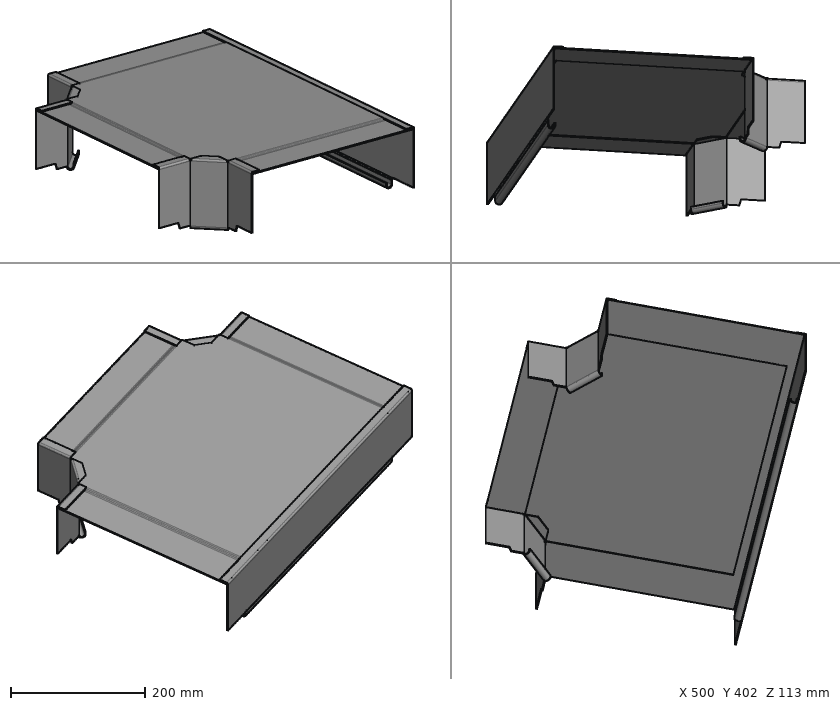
import cadquery as cq
import math

LENGTH = 500.0
DEPTH = 402.0
HEIGHT = 113.0
HALF_LENGTH = LENGTH / 2
BACK_Y = DEPTH / 2
FRONT_Y = -DEPTH / 2

SHEET = 2.0
BEND_RADIUS = 3.0
FLANGE_WIDTH = 15.0

BRANCH_HALF_WIDTH = 152.0
CORNER_LEG = 40.0
RUN_HALF_LENGTH = BRANCH_HALF_WIDTH + CORNER_LEG
RUN_FRONT_Y = -103.5
BRANCH_START_Y = RUN_FRONT_Y - CORNER_LEG

WALL_BOTTOM = 15.5
HOOK_RADIUS = 6.0
HOOK_LIP_TOP = 9.5
BACK_HOOK_HALF_LENGTH = 198.5
JOG_BOTTOM = 12.5
TAB_LENGTH_TOP = 21.5
TAB_LENGTH_BOTTOM = 18.5

RAMP_ANGLE = math.radians(25)
RAMP_BEND_RADIUS = 5.5

FLANGE_BOTTOM = HEIGHT - SHEET
RIM_BOTTOM = FLANGE_BOTTOM - SHEET
WALL_TOP = HEIGHT - BEND_RADIUS
TRAPEZOID_INSET = FLANGE_WIDTH * math.sqrt(2)
MITRE = math.tan(math.radians(45 / 2))


def prism(points, bottom, top):
    """Vertical prism over a plan outline."""
    return cq.Workplane("XY").workplane(offset=bottom).polyline(points).close().extrude(top - bottom)


def place(section, origin, direction, length):
    """Extrude a section drawn as (distance from origin along direction, height).

    The extrusion runs to the right of that direction, as seen from above.
    """
    normal = (direction[1], -direction[0], 0)
    plane = cq.Plane(origin=(*origin, 0), xDir=(*direction, 0), normal=normal)
    return section(cq.Workplane(plane)).extrude(length)


def flange_section(work):
    """Top flange with the quarter-round bend down to the wall."""
    inner_radius = BEND_RADIUS - SHEET
    diagonal = math.sqrt(0.5)
    return (
        work.moveTo(0, WALL_TOP)
        .threePointArc(
            (BEND_RADIUS * (1 - diagonal), WALL_TOP + BEND_RADIUS * diagonal), (BEND_RADIUS, HEIGHT)
        )
        .lineTo(FLANGE_WIDTH, HEIGHT)
        .lineTo(FLANGE_WIDTH, FLANGE_BOTTOM)
        .lineTo(BEND_RADIUS, FLANGE_BOTTOM)
        .threePointArc(
            (BEND_RADIUS - inner_radius * diagonal, WALL_TOP + inner_radius * diagonal), (SHEET, WALL_TOP)
        )
        .close()
    )


def hook_section(work):
    """Half-round hook that turns inward and ends in a short upright lip."""
    width = 2 * HOOK_RADIUS
    return (
        work.moveTo(0, HOOK_RADIUS)
        .threePointArc((HOOK_RADIUS, 0), (width, HOOK_RADIUS))
        .lineTo(width, HOOK_LIP_TOP)
        .lineTo(width - SHEET, HOOK_LIP_TOP)
        .lineTo(width - SHEET, HOOK_RADIUS)
        .threePointArc((HOOK_RADIUS, SHEET), (SHEET, HOOK_RADIUS))
        .close()
    )


def jog_section(work):
    """Lower strip of the back wall, stepped inward by one sheet thickness down to the hook."""
    return work.polyline(
        [
            (0, WALL_BOTTOM),
            (SHEET, JOG_BOTTOM),
            (SHEET, HOOK_RADIUS),
            (2 * SHEET, HOOK_RADIUS),
            (2 * SHEET, JOG_BOTTOM),
            (SHEET, WALL_BOTTOM),
        ]
    ).close()


def left_path(inset):
    """Plan of the left corner wall, moved inward from its outer face by an inset."""
    return [
        (-HALF_LENGTH, RUN_FRONT_Y + inset),
        (-RUN_HALF_LENGTH + inset * MITRE, RUN_FRONT_Y + inset),
        (-BRANCH_HALF_WIDTH + inset, BRANCH_START_Y + inset * MITRE),
        (-BRANCH_HALF_WIDTH + inset, FRONT_Y),
    ]


def corner_flange_outline():
    """Mitred flange above the left 45 degree wall, from the run around to the branch."""
    return [
        (-RUN_HALF_LENGTH, RUN_FRONT_Y),
        (-RUN_HALF_LENGTH + TRAPEZOID_INSET, RUN_FRONT_Y),
        (-BRANCH_HALF_WIDTH, BRANCH_START_Y + TRAPEZOID_INSET),
        (-BRANCH_HALF_WIDTH, BRANCH_START_Y),
    ]


def mirrored(points):
    """Plan points mirrored across X = 0, in reverse order to continue an outline."""
    return [(-x, y) for x, y in reversed(points)]


def open_end_ramp(start, outward, length):
    """Smooth ramp from the raised panel to the lowered rim, along one open side."""
    bend_run = RAMP_BEND_RADIUS * math.sin(RAMP_ANGLE)
    bend_drop = RAMP_BEND_RADIUS * (1 - math.cos(RAMP_ANGLE))
    straight_run = (SHEET - 2 * bend_drop) / math.tan(RAMP_ANGLE)
    half_run = RAMP_BEND_RADIUS * math.sin(RAMP_ANGLE / 2)
    half_drop = RAMP_BEND_RADIUS * (1 - math.cos(RAMP_ANGLE / 2))
    full_run = 2 * bend_run + straight_run

    def section(work):
        return (
            work.moveTo(0, HEIGHT)
            .threePointArc((half_run, HEIGHT - half_drop), (bend_run, HEIGHT - bend_drop))
            .lineTo(bend_run + straight_run, FLANGE_BOTTOM + bend_drop)
            .threePointArc((full_run - half_run, FLANGE_BOTTOM + half_drop), (full_run, FLANGE_BOTTOM))
            .lineTo(0, FLANGE_BOTTOM)
            .close()
        )

    return place(section, start, outward, length)


def make_plate():
    """Raised centre panel, flush with the flanges, on a rim that lies under them."""
    rim_edge = left_path(BEND_RADIUS)
    rim_back = BACK_Y - BEND_RADIUS
    rim_outline = [(-HALF_LENGTH, rim_back), *rim_edge, *mirrored(rim_edge), (HALF_LENGTH, rim_back)]

    panel_back = BACK_Y - FLANGE_WIDTH
    notch = corner_flange_outline()
    panel_outline = [
        (-RUN_HALF_LENGTH, panel_back),
        *notch,
        *mirrored(notch),
        (RUN_HALF_LENGTH, panel_back),
    ]
    hollow = (
        cq.Workplane("XY")
        .workplane(offset=RIM_BOTTOM)
        .polyline(panel_outline)
        .close()
        .offset2D(-SHEET, "intersection")
        .extrude(SHEET)
    )
    plate = prism(rim_outline, RIM_BOTTOM, FLANGE_BOTTOM).cut(hollow)
    plate = plate.union(prism(panel_outline, FLANGE_BOTTOM, HEIGHT))

    run_opening_front = RUN_FRONT_Y + FLANGE_WIDTH
    run_opening = panel_back - run_opening_front
    branch_opening_half = BRANCH_HALF_WIDTH - FLANGE_WIDTH
    left_ramp = open_end_ramp((-RUN_HALF_LENGTH, run_opening_front), (-1, 0), run_opening)
    right_ramp = open_end_ramp((RUN_HALF_LENGTH, panel_back), (1, 0), run_opening)
    branch_ramp = open_end_ramp((branch_opening_half, BRANCH_START_Y), (0, -1), 2 * branch_opening_half)
    return plate.union(left_ramp).union(right_ramp).union(branch_ramp)


def make_back_wall():
    """Straight wall with a top flange and a jogged hook along its lower edge."""
    inward = (0, -1)
    wall = cq.Workplane("XY").box(LENGTH, SHEET, WALL_TOP - WALL_BOTTOM, centered=(True, False, False))
    wall = wall.translate((0, BACK_Y - SHEET, WALL_BOTTOM))
    flange = place(flange_section, (HALF_LENGTH, BACK_Y), inward, LENGTH)
    hook_length = 2 * BACK_HOOK_HALF_LENGTH
    jog = place(jog_section, (BACK_HOOK_HALF_LENGTH, BACK_Y), inward, hook_length)
    hook = place(hook_section, (BACK_HOOK_HALF_LENGTH, BACK_Y - SHEET), inward, hook_length)
    return wall.union(flange).union(jog).union(hook)


def clearance_below_panel(origin, away, length):
    """Space below a straight panel, leaving a tapered tab next to the 45 degree wall."""

    def section(work):
        return work.polyline(
            [
                (TAB_LENGTH_TOP, WALL_BOTTOM),
                (TAB_LENGTH_BOTTOM, HOOK_RADIUS),
                (length, HOOK_RADIUS),
                (length, WALL_BOTTOM),
            ]
        ).close()

    return place(section, origin, away, SHEET)


def make_corner_wall(side):
    """Three-panel wall around one corner: side -1 is the left one, +1 its mirror image."""
    outer_path = left_path(0)
    run_end, run_corner, branch_corner, _ = outer_path
    wall = prism(outer_path + left_path(SHEET)[::-1], HOOK_RADIUS, WALL_TOP)
    run_length = HALF_LENGTH - RUN_HALF_LENGTH
    branch_length = BRANCH_START_Y - FRONT_Y
    wall = wall.cut(clearance_below_panel(run_corner, (-1, 0), run_length))
    branch_inner_corner = (branch_corner[0] + SHEET, branch_corner[1])
    wall = wall.cut(clearance_below_panel(branch_inner_corner, (0, -1), branch_length))

    diagonal_inward = (math.sqrt(0.5), math.sqrt(0.5))
    diagonal_length = CORNER_LEG * math.sqrt(2)
    run_flange = place(flange_section, run_end, (0, 1), run_length)
    branch_flange = place(flange_section, branch_corner, (1, 0), branch_length)
    corner_flange = place(flange_section, run_corner, diagonal_inward, diagonal_length)
    corner_flange = corner_flange.intersect(prism(corner_flange_outline(), 0, HEIGHT))
    hook = place(hook_section, run_corner, diagonal_inward, diagonal_length)

    body = wall.union(run_flange).union(branch_flange).union(corner_flange).union(hook)
    return body if side < 0 else body.mirror("YZ")


plate = make_plate()
back_wall = make_back_wall()
corner_walls = [make_corner_wall(side) for side in (-1, 1)]

result = cq.Compound.makeCompound([plate.val(), back_wall.val(), *[wall.val() for wall in corner_walls]])